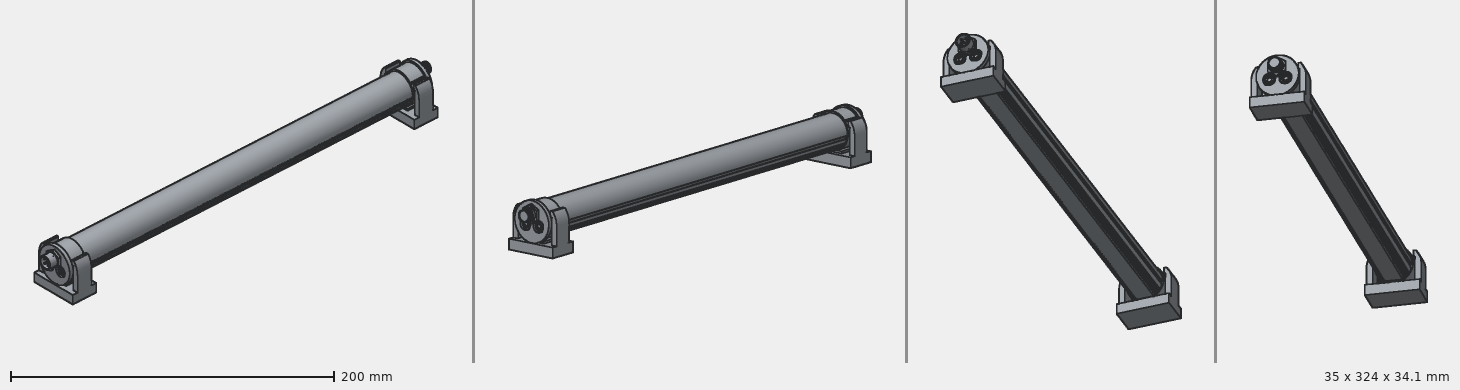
import math

import cadquery as cq

overall_length = 324.04
overall_height = 34.07
bracket_span = 309.8

foot_width = 35.0
foot_length = 20.0
foot_height = 7.0

disc_radius = 13.6
disc_thickness = 3.0
disc_inset = 1.0
collar_radius = 12.4
collar_length = 12.0
axis_z = overall_height - disc_radius
disc_face_y = bracket_span / 2 - disc_inset
collar_outer_y = disc_face_y - disc_thickness
collar_inner_y = collar_outer_y - collar_length

groove_width = 1.0
groove_depth = 0.6
groove_x = 9.7
groove_end_gap = 1.0

arm_inner_x = 13.5
arm_shoulder_z = 20.0
arm_top_z = 28.8
arm_tip_outer_x = 14.2
arm_hook_x = 12.5
arm_hook_z = 25.5
arm_round_width = foot_width / 2 - arm_tip_outer_x
arm_round_height = arm_top_z - arm_shoulder_z
arm_round_radius = (arm_round_width**2 + arm_round_height**2) / (2 * arm_round_width)
saddle_width = 14.4
saddle_height = 1.4

tube_radius = 11.65
tube_drop = 0.45
tube_z = axis_z - tube_drop
tube_flat_z = 9.9
tube_groove_depth = 0.8
tube_groove_bands = [(17.0, 19.0), (12.6, 13.9), (10.6, 11.8)]

connector_z = 25.6
nut_across_flats = 11.0
nut_thickness = 2.0
plug_body_diameter = 9.0
plug_thread_diameter = 7.8
plug_thread_length = 4.0
thread_pitch = 1.0
thread_depth = 0.4
socket_diameter = 9.6
socket_bore_diameter = 8.0
socket_bore_depth = 5.0
pin_count = 4
pin_diameter = 1.0
pin_circle_diameter = 4.4
pin_length = 4.0

screw_x = 5.2
screw_z = 18.2
screw_hole_diameter = 8.0
screw_hole_depth = 2.0
screw_head_diameter = 5.4
screw_head_height = 1.5
screw_key_size = 3.0
screw_key_depth = 1.0


def rod(diameter, x, z, y_start, y_end):
    """Round bar along Y with its seam on top."""
    profile = cq.Workplane("XZ", origin=(x, y_end, z)).transformed(rotate=(0, 0, 90))
    return profile.circle(diameter / 2).extrude(y_end - y_start)


def hex_bar(across_flats, x, z, y_start, y_end):
    """Hexagonal bar along Y with corners pointing up and down."""
    corner_diameter = across_flats / math.cos(math.pi / 6)
    profile = cq.Workplane("XZ", origin=(x, y_end, z)).transformed(rotate=(0, 0, 90))
    return profile.polygon(6, corner_diameter).extrude(y_end - y_start)


def make_tube():
    """Round tube with a flat underside and lengthwise grooves low on both flanks."""
    length = 2 * collar_outer_y
    tube = rod(2 * tube_radius, 0, tube_z, -length / 2, length / 2)
    flat_cut_height = tube_flat_z - tube_z + tube_radius
    tube = tube.cut(
        cq.Workplane("XY", origin=(0, 0, tube_z - tube_radius))
        .box(2 * tube_radius, length, flat_cut_height, centered=(True, True, False))
    )
    core = rod(2 * (tube_radius - tube_groove_depth), 0, tube_z, -length / 2, length / 2)
    for lower_z, upper_z in tube_groove_bands:
        band = cq.Workplane("XY", origin=(0, 0, lower_z)).box(
            2 * tube_radius, 2 * collar_inner_y, upper_z - lower_z, centered=(True, True, False)
        )
        tube = tube.cut(band.cut(core))
    return tube


def make_arm():
    """Clamp arm on the +X side, with a rounded shoulder and an inward hook."""
    shoulder = (foot_width / 2, arm_shoulder_z)
    tip = (arm_tip_outer_x, arm_top_z)
    return (
        cq.Workplane("XZ", origin=(0, collar_outer_y, 0))
        .moveTo(arm_inner_x, 0)
        .lineTo(foot_width / 2, 0)
        .lineTo(*shoulder)
        .radiusArc(tip, -arm_round_radius)
        .lineTo(arm_hook_x, arm_top_z)
        .lineTo(arm_hook_x, arm_hook_z)
        .lineTo(arm_inner_x, arm_hook_z - (arm_inner_x - arm_hook_x))
        .close()
        .extrude(collar_length)
    )


def make_collar_groove():
    """Cutter for the narrow groove in the collar, sunk square to its surface."""
    tilt = math.degrees(math.asin(groove_x / collar_radius))
    groove = cq.Workplane("XY").box(
        groove_width, collar_length - groove_end_gap, 2 * groove_depth, centered=(True, False, True)
    )
    groove = groove.translate((0, collar_inner_y, collar_radius))
    return groove.rotate((0, 0, 0), (0, 1, 0), tilt).translate((0, 0, axis_z))


def add_screw(end, x):
    """Sunk cylinder-head screw with a hexagonal key socket."""
    floor_y = disc_face_y - screw_hole_depth
    head_y = floor_y + screw_head_height
    end = end.cut(rod(screw_hole_diameter, x, screw_z, floor_y, disc_face_y))
    end = end.union(rod(screw_head_diameter, x, screw_z, floor_y, head_y))
    return end.cut(hex_bar(screw_key_size, x, screw_z, head_y - screw_key_depth, head_y))


def make_end():
    """Bracket and end cap at the +Y end, without the connector body."""
    foot_y = bracket_span / 2 - foot_length / 2
    end = cq.Workplane("XY", origin=(0, foot_y, 0)).box(
        foot_width, foot_length, foot_height, centered=(True, True, False)
    )
    collar_y = (collar_inner_y + collar_outer_y) / 2
    saddle = cq.Workplane("XY", origin=(0, collar_y, 0)).box(
        saddle_width, collar_length, foot_height + saddle_height, centered=(True, True, False)
    )
    arm = make_arm()
    end = end.union(saddle).union(arm).union(arm.mirror("YZ"))
    collar = rod(2 * collar_radius, 0, axis_z, collar_inner_y, collar_outer_y)
    end = end.union(collar.cut(make_collar_groove()))
    end = end.union(rod(2 * disc_radius, 0, axis_z, collar_outer_y, disc_face_y))
    for x in (-screw_x, screw_x):
        end = add_screw(end, x)
    nut = hex_bar(nut_across_flats, 0, connector_z, disc_face_y, disc_face_y + nut_thickness)
    return end.union(nut)


def make_plug():
    """Threaded connector at the +Y end, the thread being a row of ridges."""
    tip_y = overall_length / 2
    thread_y = tip_y - plug_thread_length
    plug = rod(plug_body_diameter, 0, connector_z, disc_face_y, thread_y)
    plug = plug.union(rod(plug_thread_diameter - 2 * thread_depth, 0, connector_z, thread_y, tip_y))
    crest_width = thread_pitch / 2
    for turn in range(int(plug_thread_length / thread_pitch)):
        crest_y = tip_y - turn * thread_pitch
        plug = plug.union(rod(plug_thread_diameter, 0, connector_z, crest_y - crest_width, crest_y))
    return plug


def make_socket():
    """Hollow round connector at the -Y end with a ring of contact pins."""
    tip_y = -overall_length / 2
    floor_y = tip_y + socket_bore_depth
    socket = rod(socket_diameter, 0, connector_z, tip_y, -disc_face_y)
    socket = socket.cut(rod(socket_bore_diameter, 0, connector_z, tip_y, floor_y))
    for pin in range(pin_count):
        angle = 2 * math.pi * (pin + 0.5) / pin_count
        x = pin_circle_diameter / 2 * math.cos(angle)
        z = connector_z + pin_circle_diameter / 2 * math.sin(angle)
        socket = socket.union(rod(pin_diameter, x, z, floor_y - pin_length, floor_y))
    return socket


back_end = make_end()
front_end = back_end.rotate((0, 0, 0), (0, 0, 1), 180)
result = make_tube().union(back_end).union(front_end).union(make_plug()).union(make_socket())